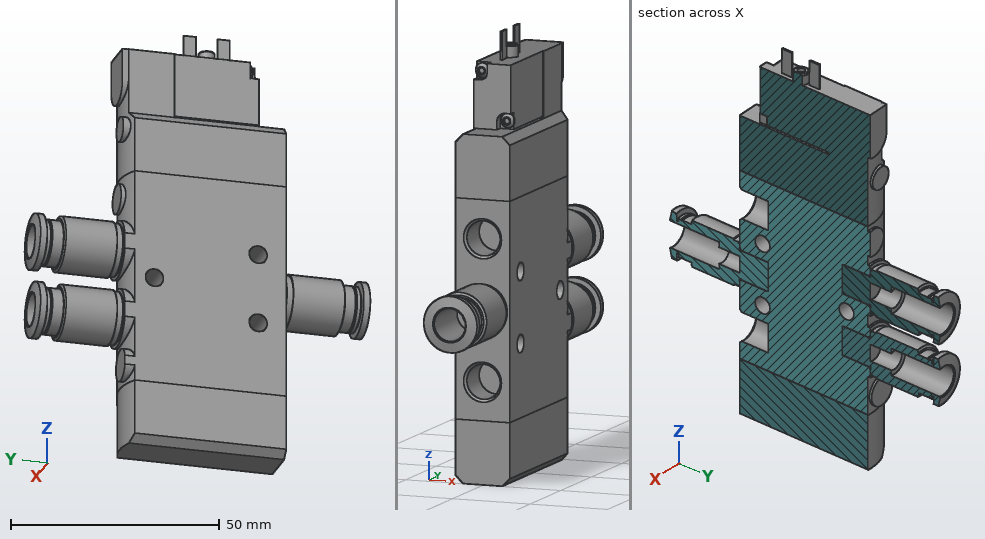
import cadquery as cq

WIDTH = 14.0
HALF_WIDTH = WIDTH / 2
OVERALL_DEPTH = 83.7
FRONT_Y = -20.2
BOSS_Y = -FRONT_Y
REAR_Y = 19.5
REAR_EDGE_Y = 17.7
BLOCK_HEIGHT = 85.2
CAP_HEIGHT = 15.6
CHAMFER = 2.0
MID_Z = 42.5
UPPER_SEAM_Z = BLOCK_HEIGHT - CAP_HEIGHT

OUTLET_OFFSET = 8.8
EXHAUST_OFFSET = 17.5
PORT_DIAMETER = 8.6
PORT_MOUTH_DIAMETER = 9.8
PORT_DEPTH = 8.7
MOUNT_DIAMETER = 4.5
FRONT_MOUNT_Y = -13.1
REAR_MOUNT_Y = 12.8

PORT_BOSS_DIAMETER = 14.5
OVERRIDE_DIAMETER = 7.5
OVERRIDE_Z = 64.6
LOWER_BOSS_DIAMETER = 8.0
LOWER_BOSS_X = -3.1
LOWER_BOSS_Z = 20.6
UPPER_BOSS_DIAMETER = 6.2
UPPER_BOSS_X = -2.6
UPPER_BOSS_Z = 81.6

SOLENOID_TOP = 101.6
BASE_HALF_WIDTH = HALF_WIDTH - CHAMFER
COIL_HALF_WIDTH = 4.8
COIL_REAR_Y = 7.2
COIL_FRONT_Y = -14.0
COIL_GAP = 0.4
COIL_BOTTOM = BLOCK_HEIGHT + COIL_GAP
PAD_RADIUS = 4.9
PAD_CENTRE_Z = 93.7

SCREW_X = 3.3
SCREW_EDGE = 2.1
RECESS_RADIUS = 4.0 / 2
RECESS_DEPTH = 2.2
SCREW_DIAMETER = 3.6
SCREW_TIP_DIAMETER = 2.0
SCREW_HEIGHT = 0.9
SCREW_CONE_HEIGHT = 0.8
SOCKET_DIAMETER = 1.5
SOCKET_DEPTH = 0.4

TERMINAL_Y = -2.3
STUD_DIAMETER = 4.0
STUD_TOP = 104.6
STUD_CHAMFER = 0.3
STUD_HOLE_DIAMETER = 2.0
STUD_HOLE_DEPTH = 1.1
BLADE_OFFSET = 4.2
BLADE_WIDTH = 3.0
BLADE_THICKNESS = 0.4
TOP_Z = 108.5

NECK_RADIUS = 6.5
SEAT_RADIUS = 6.2
SEAT_LENGTH = 0.3
SLEEVE_RADIUS = 6.8
SLEEVE_START = 1.8
SLEEVE_END = 14.6
SHOULDER_RADIUS = 6.2
SHOULDER_END = 15.0
COLLET_RADIUS = 11.4 / 2
COLLET_END = 17.7
GAP_RADIUS = 5.5
RING_START = 18.1
RING_END = 19.0
GROOVE_RADIUS = 4.9
FLANGE_RADIUS = 13.8 / 2
FLANGE_START = 19.4
RIM_END = 21.0
FITTING_LENGTH = (OVERALL_DEPTH - 2 * BOSS_Y) / 2
TUBE_RADIUS = 8.0 / 2
TUBE_MOUTH_RADIUS = 8.6 / 2
TUBE_MOUTH_DEPTH = TUBE_MOUTH_RADIUS - TUBE_RADIUS
TUBE_DEPTH = 15.2
BORE_RADIUS = 5.3 / 2


def block_section(z_from, z_to):
    """Slice of the valve block between two heights, with a rounded rear and chamfered ends."""
    plan = (
        cq.Workplane("XY", origin=(0, 0, z_from))
        .moveTo(-HALF_WIDTH, FRONT_Y)
        .lineTo(HALF_WIDTH, FRONT_Y)
        .lineTo(HALF_WIDTH, REAR_EDGE_Y)
        .threePointArc((0, REAR_Y), (-HALF_WIDTH, REAR_EDGE_Y))
        .close()
        .extrude(z_to - z_from)
    )
    chamfered_block = (
        cq.Workplane("XY")
        .box(WIDTH, 2 * BOSS_Y, BLOCK_HEIGHT, centered=(True, True, False))
        .edges("|Y")
        .chamfer(CHAMFER)
    )
    return plan.intersect(chamfered_block)


def rear_boss(x, z, diameter):
    """Round boss on the rear face, cut flush with the sides of the block."""
    boss = cq.Workplane("XZ", origin=(x, BOSS_Y, z)).circle(diameter / 2).extrude(BOSS_Y)
    side_limit = cq.Workplane("XY").box(WIDTH, 4 * BOSS_Y, 2 * TOP_Z)
    return boss.intersect(side_limit)


def port_cutter(z, inward):
    """Blind port with a chamfered mouth; inward is +1 from the front face, -1 from the rear."""
    mouth = (PORT_MOUTH_DIAMETER - PORT_DIAMETER) / 2
    radius = PORT_DIAMETER / 2
    profile = [(0, 0), (radius + mouth, 0), (radius, mouth), (radius, PORT_DEPTH), (0, PORT_DEPTH)]
    face_y = -inward * BOSS_Y
    axis_plane = cq.Plane(origin=(0, face_y, z), xDir=(1, 0, 0), normal=(0, 0, inward))
    return cq.Workplane(axis_plane).polyline(profile).close().revolve(360, (0, 0), (0, 1))


def mount_hole(y, z):
    """Cutter for a mounting hole right through the width of the block."""
    return cq.Workplane("YZ", origin=(-WIDTH, y, z)).circle(MOUNT_DIAMETER / 2).extrude(2 * WIDTH)


def make_housing():
    """Middle part of the block with all ports and mounting holes."""
    housing = block_section(CAP_HEIGHT, UPPER_SEAM_Z)
    housing = housing.union(rear_boss(0, OVERRIDE_Z, OVERRIDE_DIAMETER))
    housing = housing.union(rear_boss(LOWER_BOSS_X, LOWER_BOSS_Z, LOWER_BOSS_DIAMETER))
    for z in (MID_Z - OUTLET_OFFSET, MID_Z + OUTLET_OFFSET):
        housing = housing.union(rear_boss(0, z, PORT_BOSS_DIAMETER))
    for z in (MID_Z - OUTLET_OFFSET, MID_Z + OUTLET_OFFSET):
        housing = housing.cut(port_cutter(z, -1))
        housing = housing.cut(mount_hole(FRONT_MOUNT_Y, z))
    for z in (MID_Z - EXHAUST_OFFSET, MID_Z, MID_Z + EXHAUST_OFFSET):
        housing = housing.cut(port_cutter(z, 1))
    return housing.cut(mount_hole(REAR_MOUNT_Y, MID_Z))


def solenoid_base():
    """Rear part of the solenoid, following the rounded rear of the block, with its raised pad."""
    height = SOLENOID_TOP - UPPER_SEAM_Z
    depth = REAR_Y - COIL_REAR_Y
    sag = REAR_Y - REAR_EDGE_Y
    rear_curve_radius = (HALF_WIDTH**2 + sag**2) / (2 * sag)
    curve_centre_y = REAR_Y - rear_curve_radius
    rear_cylinder = (
        cq.Workplane("XY", origin=(0, curve_centre_y, UPPER_SEAM_Z))
        .circle(rear_curve_radius)
        .extrude(height)
    )
    base = (
        cq.Workplane("XY", origin=(0, COIL_REAR_Y, UPPER_SEAM_Z))
        .box(2 * BASE_HALF_WIDTH, depth, height, centered=(True, False, False))
        .intersect(rear_cylinder)
    )
    pad = (
        cq.Workplane("XZ", origin=(0, BOSS_Y, 0))
        .moveTo(-PAD_RADIUS, SOLENOID_TOP)
        .lineTo(-PAD_RADIUS, PAD_CENTRE_Z)
        .threePointArc((0, PAD_CENTRE_Z - PAD_RADIUS), (PAD_RADIUS, PAD_CENTRE_Z))
        .lineTo(PAD_RADIUS, SOLENOID_TOP)
        .close()
        .extrude(BOSS_Y - COIL_REAR_Y)
    )
    return base.union(pad)


def corner_screw(side):
    """Recess and screw head in a front corner of the coil: side -1 is upper -X, +1 lower +X."""
    x = side * SCREW_X
    corner_z = SOLENOID_TOP if side < 0 else COIL_BOTTOM
    z = corner_z + side * SCREW_EDGE
    floor_y = COIL_FRONT_Y + RECESS_DEPTH
    front = cq.Workplane("XZ", origin=(x, floor_y, z))
    reach = 2 * RECESS_RADIUS
    recess = (
        front.moveTo(-side * RECESS_RADIUS, 0)
        .lineTo(-side * RECESS_RADIUS, -side * reach)
        .lineTo(side * reach, -side * reach)
        .lineTo(side * reach, side * RECESS_RADIUS)
        .lineTo(0, side * RECESS_RADIUS)
        .radiusArc((-side * RECESS_RADIUS, 0), -RECESS_RADIUS)
        .close()
        .extrude(RECESS_DEPTH)
    )
    shoulder = SCREW_HEIGHT - SCREW_CONE_HEIGHT
    socket_floor = SCREW_HEIGHT - SOCKET_DEPTH
    head_profile = [
        (0, 0),
        (SCREW_DIAMETER / 2, 0),
        (SCREW_DIAMETER / 2, shoulder),
        (SCREW_TIP_DIAMETER / 2, SCREW_HEIGHT),
        (SOCKET_DIAMETER / 2, SCREW_HEIGHT),
        (SOCKET_DIAMETER / 2, socket_floor),
        (0, socket_floor),
    ]
    axis_plane = cq.Plane(origin=(x, floor_y, z), xDir=(1, 0, 0), normal=(0, 0, -1))
    head = cq.Workplane(axis_plane).polyline(head_profile).close().revolve(360, (0, 0), (0, 1))
    return recess, head


def make_coil():
    """Front part of the solenoid with its corner screws."""
    coil = cq.Workplane("XY", origin=(0, COIL_FRONT_Y, COIL_BOTTOM)).box(
        2 * COIL_HALF_WIDTH,
        COIL_REAR_Y - COIL_FRONT_Y,
        SOLENOID_TOP - COIL_BOTTOM,
        centered=(True, False, False),
    )
    for side in (-1, 1):
        recess, head = corner_screw(side)
        coil = coil.cut(recess).union(head)
    return coil


def terminal_stud():
    """Round stud with a blind hole, standing on top of the coil."""
    return (
        cq.Workplane("XY", origin=(0, TERMINAL_Y, SOLENOID_TOP))
        .circle(STUD_DIAMETER / 2)
        .extrude(STUD_TOP - SOLENOID_TOP)
        .faces(">Z")
        .chamfer(STUD_CHAMFER)
        .faces(">Z")
        .workplane()
        .hole(STUD_HOLE_DIAMETER, STUD_HOLE_DEPTH)
    )


def contact_blade(y):
    """Flat contact blade standing on top of the coil."""
    return cq.Workplane("XY", origin=(0, y, SOLENOID_TOP)).box(
        BLADE_THICKNESS, BLADE_WIDTH, TOP_Z - SOLENOID_TOP, centered=(True, True, False)
    )


def make_solenoid_cap():
    """Upper end cap carrying the solenoid."""
    cap = block_section(UPPER_SEAM_Z, BLOCK_HEIGHT)
    cap = cap.union(rear_boss(UPPER_BOSS_X, UPPER_BOSS_Z, UPPER_BOSS_DIAMETER))
    cap = cap.union(solenoid_base()).union(make_coil())
    cap = cap.union(terminal_stud())
    for offset in (-BLADE_OFFSET, BLADE_OFFSET):
        cap = cap.union(contact_blade(TERMINAL_Y + offset))
    return cap


def make_fitting(z, outward):
    """Push-in fitting on a port; outward is -1 on the front face and +1 on the rear bosses."""
    axis_plane = cq.Plane(origin=(0, outward * BOSS_Y, z), xDir=(1, 0, 0), normal=(0, 0, outward))
    spigot_radius = PORT_DIAMETER / 2
    return (
        cq.Workplane(axis_plane)
        .moveTo(0, -PORT_DEPTH)
        .lineTo(spigot_radius, -PORT_DEPTH)
        .lineTo(spigot_radius, 0)
        .lineTo(SEAT_RADIUS, 0)
        .lineTo(SEAT_RADIUS, SEAT_LENGTH)
        .lineTo(NECK_RADIUS, SEAT_LENGTH)
        .lineTo(NECK_RADIUS, SLEEVE_START)
        .lineTo(SLEEVE_RADIUS, SLEEVE_START)
        .lineTo(SLEEVE_RADIUS, SLEEVE_END)
        .lineTo(SHOULDER_RADIUS, SHOULDER_END)
        .lineTo(COLLET_RADIUS, SHOULDER_END)
        .lineTo(COLLET_RADIUS, COLLET_END)
        .lineTo(GAP_RADIUS, COLLET_END)
        .lineTo(GAP_RADIUS, RING_START)
        .lineTo(COLLET_RADIUS, RING_START)
        .lineTo(COLLET_RADIUS, RING_END)
        .lineTo(GROOVE_RADIUS, RING_END)
        .lineTo(GROOVE_RADIUS, FLANGE_START)
        .lineTo(FLANGE_RADIUS, FLANGE_START)
        .lineTo(FLANGE_RADIUS, RIM_END)
        .lineTo(TUBE_MOUTH_RADIUS, FITTING_LENGTH)
        .lineTo(TUBE_RADIUS, FITTING_LENGTH - TUBE_MOUTH_DEPTH)
        .lineTo(TUBE_RADIUS, FITTING_LENGTH - TUBE_DEPTH)
        .lineTo(BORE_RADIUS, FITTING_LENGTH - TUBE_DEPTH)
        .lineTo(BORE_RADIUS, 0)
        .lineTo(0, 0)
        .close()
        .revolve(360, (0, 0), (0, 1))
    )


housing = make_housing()
lower_cap = block_section(0, CAP_HEIGHT)
solenoid_cap = make_solenoid_cap()

FITTING_PLACES = [
    (MID_Z, -1),
    (MID_Z - OUTLET_OFFSET, 1),
    (MID_Z + OUTLET_OFFSET, 1),
]
fittings = [make_fitting(z, outward).val() for z, outward in FITTING_PLACES]

result = cq.Compound.makeCompound([housing.val(), lower_cap.val(), solenoid_cap.val(), *fittings])